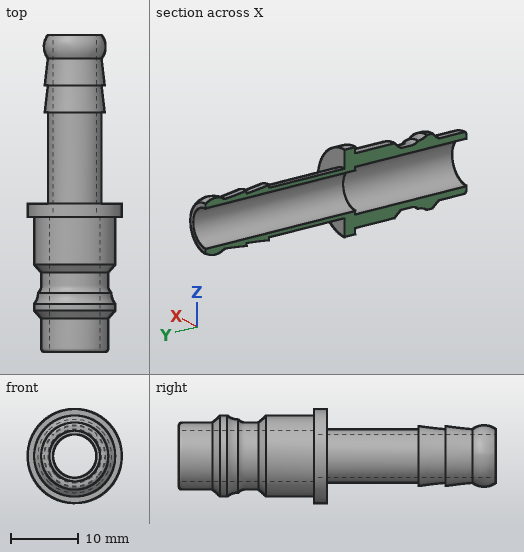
import cadquery as cq
import math

length = 47.0

flange_radius = 7.0
body_radius = 6.0
plug_radius = 5.0
lip_radius = 5.45
hose_tube_radius = 4.0
barb_radius = 4.45
bulb_radius = 4.6
plug_bore_radius = 3.75
hose_bore_radius = 3.2

nose_fillet = 0.5
nose_length = 5.0
cone_length = 1.18
collar_width = 1.0
collar_flare_length = 1.65
neck_flare_length = 1.05
neck_length = 1.97
body_length = 7.05
flange_width = 1.97
barb_length = 4.0
bulb_length = 3.5
barb_count = 2

collar_start = nose_length + cone_length
collar_end = collar_start + collar_width
lip_position = collar_end + collar_flare_length
neck_start = lip_position + neck_flare_length
neck_end = neck_start + neck_length
body_start = neck_end + cone_length
flange_start = body_start + body_length
flange_end = flange_start + flange_width
bulb_start = length - bulb_length
barbs_start = bulb_start - barb_count * barb_length


def flare_midpoint(small_radius, large_radius, large_end, flare_length):
    """Point on a concave arc that runs out parallel to the axis at its small radius."""
    rise = large_radius - small_radius
    arc_radius = (flare_length**2 + rise**2) / (2 * rise)
    half_length = flare_length / 2
    offset = arc_radius - math.sqrt(arc_radius**2 - half_length**2)
    return small_radius + offset, large_end + half_length


collar_flare_mid = flare_midpoint(lip_radius, body_radius, collar_end, collar_flare_length)
neck_flare_mid = flare_midpoint(plug_radius, lip_radius, lip_position, neck_flare_length)

profile = (
    cq.Workplane("XY")
    .moveTo(0, 0)
    .lineTo(plug_radius, 0)
    .lineTo(plug_radius, nose_length)
    .lineTo(body_radius, collar_start)
    .lineTo(body_radius, collar_end)
    .threePointArc(collar_flare_mid, (lip_radius, lip_position))
    .threePointArc(neck_flare_mid, (plug_radius, neck_start))
    .lineTo(plug_radius, neck_end)
    .lineTo(body_radius, body_start)
    .lineTo(body_radius, flange_start)
    .lineTo(flange_radius, flange_start)
    .lineTo(flange_radius, flange_end)
    .lineTo(hose_tube_radius, flange_end)
    .lineTo(hose_tube_radius, barbs_start)
)

for index in range(barb_count):
    barb_start = barbs_start + index * barb_length
    profile = profile.lineTo(barb_radius, barb_start)
    profile = profile.lineTo(hose_tube_radius, barb_start + barb_length)

profile = (
    profile
    .threePointArc((bulb_radius, bulb_start + bulb_length / 2), (hose_tube_radius, length))
    .lineTo(0, length)
    .close()
)
fitting = profile.revolve(360, (0, 0, 0), (0, 1, 0))
fitting = fitting.faces("<Y").edges().fillet(nose_fillet)


def bore(radius, depth):
    """Cylinder on the axis, running from the plug end to the given depth."""
    return cq.Workplane("XZ").circle(radius).extrude(-depth)


result = fitting.cut(bore(plug_bore_radius, flange_start)).cut(bore(hose_bore_radius, length))